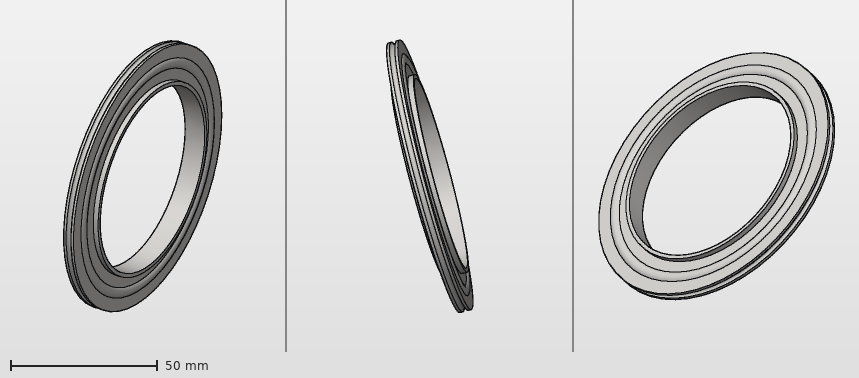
import cadquery as cq

outer_radius = 95 / 2
bore_radius = 66.8 / 2
hub_radius = 69.6 / 2
hub_half_width = 7.9 / 2
web_half_width = 2.0

bead_inner_radius = 38.95
bead_outer_radius = 42.7
bead_height = 0.8

groove_radius = 0.95


def revolve_about_x(profile):
    """Revolve a profile drawn as (X, radius) points around the X axis."""
    return profile.close().revolve(360, (0, 0), (1, 0))


def tube(inner_radius, outer_radius, half_width):
    """Plain ring centred on X = 0."""
    section = cq.Workplane("YZ", origin=(-half_width, 0, 0)).circle(outer_radius).circle(inner_radius)
    return section.extrude(2 * half_width)


def bead(side):
    """Arc-shaped bead; side is 1 for the +X face and -1 for the -X face."""
    base = side * web_half_width
    crest = (base + side * bead_height, (bead_inner_radius + bead_outer_radius) / 2)
    profile = (
        cq.Workplane("XY")
        .moveTo(0, bead_inner_radius)
        .lineTo(base, bead_inner_radius)
        .threePointArc(crest, (base, bead_outer_radius))
        .lineTo(0, bead_outer_radius)
    )
    return revolve_about_x(profile)


def rim_groove():
    """Semicircular groove cutter around the outer rim."""
    clear_radius = outer_radius + groove_radius
    profile = (
        cq.Workplane("XY")
        .moveTo(-groove_radius, clear_radius)
        .lineTo(-groove_radius, outer_radius)
        .threePointArc((0, outer_radius - groove_radius), (groove_radius, outer_radius))
        .lineTo(groove_radius, clear_radius)
    )
    return revolve_about_x(profile)


web = tube(hub_radius, outer_radius, web_half_width)
hub = tube(bore_radius, hub_radius, hub_half_width)

result = web.union(hub)
for side in (-1, 1):
    result = result.union(bead(side))
result = result.cut(rim_groove())